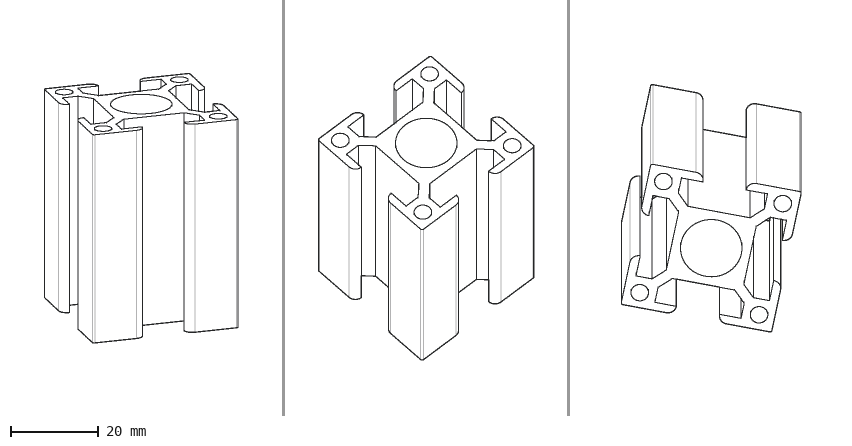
import cadquery as cq
import math

side = 35.0
length = 50.0
half_side = side / 2

slot_opening = 10.0
lip_thickness = 2.0
lip_radius = lip_thickness
pocket_width = 20.0
core_width = 18.0
web_thickness = 2.5

center_bore_diameter = 14.0
corner_bore_diameter = 4.0
corner_bore_offset = 13.85
corner_radius = 0.5


def make_slot():
    """T-slot open towards +Y, with its pocket narrowing along the diagonal webs."""
    half_opening = slot_opening / 2
    half_pocket = pocket_width / 2
    half_core = core_width / 2
    lip_inner = half_side - lip_thickness
    web_shift = web_thickness / 2 * math.sqrt(2)
    arc_shift = lip_radius * (1 - math.sqrt(0.5))

    return (
        cq.Workplane("XY")
        .moveTo(-half_core + web_shift, half_core)
        .lineTo(half_core - web_shift, half_core)
        .lineTo(half_pocket, half_pocket + web_shift)
        .lineTo(half_pocket, lip_inner)
        .lineTo(half_opening, lip_inner)
        .threePointArc(
            (half_opening + arc_shift, half_side - arc_shift),
            (half_opening + lip_radius, half_side),
        )
        .lineTo(-half_opening - lip_radius, half_side)
        .threePointArc(
            (-half_opening - arc_shift, half_side - arc_shift),
            (-half_opening, lip_inner),
        )
        .lineTo(-half_pocket, lip_inner)
        .lineTo(-half_pocket, half_pocket + web_shift)
        .close()
        .extrude(length)
    )


def make_bores():
    """Central bore and the four corner bores, all running the full length."""
    center_bore = cq.Workplane("XY").circle(center_bore_diameter / 2).extrude(length)
    corner_bores = (
        cq.Workplane("XY")
        .rect(2 * corner_bore_offset, 2 * corner_bore_offset, forConstruction=True)
        .vertices()
        .circle(corner_bore_diameter / 2)
        .extrude(length)
    )
    return center_bore.union(corner_bores)


bar = (
    cq.Workplane("XY")
    .box(side, side, length, centered=(True, True, False))
    .edges("|Z")
    .fillet(corner_radius)
)

slot = make_slot()
for turn in range(4):
    bar = bar.cut(slot.rotate((0, 0, 0), (0, 0, 1), 90 * turn))

result = bar.cut(make_bores())